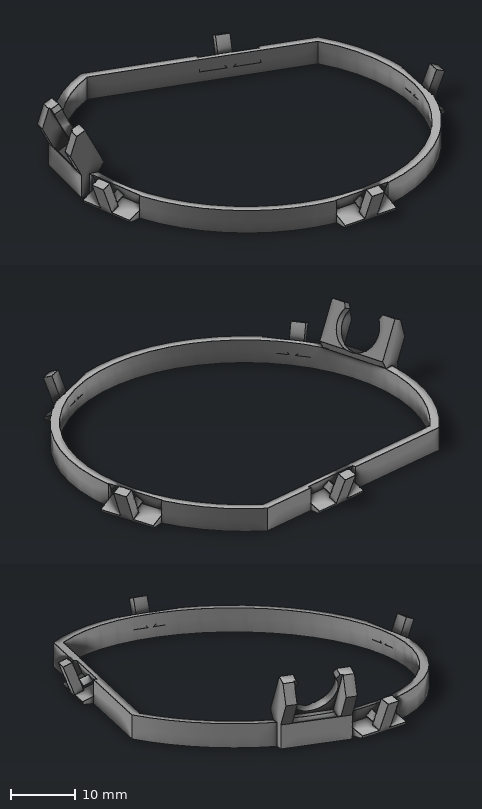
import cadquery as cq
import math

ring_radius = 30.3
ring_wall = 1.5
ring_height = 4.0
flat_distance = 23.2

clip_angles = [-61.5, 18.5, 98.5]
flat_clip_y = 4.6
ledge_length = 10.0
ledge_tip_thickness = 0.51
pocket_depth = 0.57
post_width = 2.4
post_thickness = 1.6
clip_lean = 22
post_reach = 3.7
post_corner_height = 5.2
pin_side = 1.4
pin_twist = 40
pin_height = 1.6
pin_reach = 0.3

holder_angle = -83.5
holder_width = 12.25
holder_shift = -0.3
holder_lean = 27.5
holder_front = 31.1
holder_inner = 28.1
arm_width = 1.95
arm_overhang = 4.1
arm_tip_depth = 1.7
plate_length = 7.0
plate_thickness = 1.5
plate_corner = (27.2, 5.5)
groove_rim = 30.95
groove_floor = -0.6
groove_front_depth = 4.05
seat_radius = 4.0
seat_center = 3.85
seat_margin = 1.35
mouth_half_width = 3.2
mouth_top_half_width = 3.7


def d_outline(radius, flat):
    """Solid D-shaped disc with its flat on the -X side."""
    half_chord = math.sqrt(radius**2 - flat**2)
    return (
        cq.Workplane("XY")
        .moveTo(-flat, -half_chord)
        .threePointArc((radius, 0), (-flat, half_chord))
        .close()
        .extrude(ring_height)
    )


def radial_prism(points, width):
    """Prism with an outline in radial distance and height, centred across the radial direction."""
    return cq.Workplane("XZ").polyline(points).close().extrude(width / 2, both=True)


def clip():
    """A clip and the space it needs cleared in the ring wall, as a pair of solids.

    The ring's outer face is at X = 0 and outwards is +X. The pocket wall, post and ledge share one lean.
    """
    lean = math.radians(clip_lean)
    tip_height = ledge_tip_thickness * math.cos(lean)
    outer_foot = (post_reach - (post_corner_height - tip_height) * math.tan(lean), tip_height)
    tip_foot = (outer_foot[0] - tip_height * math.tan(lean), 0)

    pocket_run = outer_foot[0] + pocket_depth
    pocket_rise = ring_height - tip_height
    ledge_depth = pocket_run * math.cos(lean) + pocket_rise * math.sin(lean)
    wall_foot = (outer_foot[0] - ledge_depth * math.cos(lean), tip_height + ledge_depth * math.sin(lean))
    cleared_points = [
        wall_foot,
        outer_foot,
        (outer_foot[0], ring_height),
        (-pocket_depth, ring_height),
    ]
    cleared = radial_prism(cleared_points, ledge_length)
    ledge = radial_prism([(wall_foot[0], 0), tip_foot, outer_foot, wall_foot], ledge_length)

    rise_x = post_thickness * math.cos(lean)
    rise_z = post_thickness * math.sin(lean)
    post_points = [
        tip_foot,
        (post_reach, post_corner_height),
        (post_reach - rise_x, post_corner_height + rise_z),
        (tip_foot[0] - rise_x, rise_z),
    ]
    post = radial_prism(post_points, post_width)

    pin = (
        cq.Workplane("XY")
        .box(ledge_depth, pin_side, pin_side, centered=(False, True, True))
        .rotate((0, 0, 0), (1, 0, 0), pin_twist)
        .rotate((0, 0, 0), (0, 1, 0), 180 + clip_lean)
        .translate((pin_reach, 0, pin_height))
        .intersect(cleared)
    )
    return ledge.union(post).union(pin), cleared


def on_arc(shape, angle):
    """Move a clip shape to an angle on the round part of the ring."""
    return shape.translate((ring_radius, 0, 0)).rotate((0, 0, 0), (0, 0, 1), angle)


def on_flat(shape):
    """Move a clip shape to the flat of the ring."""
    return shape.rotate((0, 0, 0), (0, 0, 1), 180).translate((-flat_distance, flat_clip_y, 0))


def place_holder(shape):
    """Turn a holder shape, built outwards along +X, to its angle on the ring."""
    return shape.translate((0, holder_shift, 0)).rotate((0, 0, 0), (0, 0, 1), holder_angle)


def holder():
    """The snap holder and the groove it needs cleared in the ring, as a pair of solids."""
    lean = math.radians(holder_lean)
    along = (math.sin(lean), math.cos(lean))
    across = (math.cos(lean), -math.sin(lean))

    def plate_point(length, depth):
        """Radial distance and height of a point up the plate and in from its rear face."""
        return tuple(plate_corner[i] + length * along[i] + depth * across[i] for i in range(2))

    rear_top = plate_point(plate_length, 0)
    front_top = plate_point(plate_length, plate_thickness)
    groove_back = plate_point(groove_floor, plate_thickness)
    foot = [(holder_inner, ring_height), (holder_inner, 0), (holder_front, 0), (holder_front, ring_height)]

    body_points = foot + [groove_back, front_top, rear_top, plate_corner]
    elbow = (holder_front + arm_overhang * along[0], ring_height + arm_overhang * along[1])
    arm_points = foot + [elbow, plate_point(plate_length, arm_tip_depth), rear_top, plate_corner]

    body = radial_prism(body_points, holder_width)
    for side in (-1, 1):
        arm = radial_prism(arm_points, arm_width)
        body = body.union(arm.translate((0, side * (holder_width - arm_width) / 2, 0)))

    plate_plane = cq.Plane(
        origin=(plate_corner[0], 0, plate_corner[1]),
        xDir=(0, -1, 0),
        normal=(-across[0], 0, -across[1]),
    )
    mouth = seat_center + math.sqrt(seat_radius**2 - mouth_half_width**2)
    seat = (
        cq.Workplane(plate_plane)
        .workplane(offset=-plate_thickness)
        .moveTo(mouth_half_width, mouth)
        .lineTo(mouth_top_half_width, plate_length)
        .lineTo(-mouth_top_half_width, plate_length)
        .lineTo(-mouth_half_width, mouth)
        .threePointArc((0, seat_center - seat_radius), (mouth_half_width, mouth))
        .close()
        .extrude(plate_thickness + seat_margin)
    )
    groove_points = [
        groove_back,
        plate_point(groove_floor, groove_front_depth),
        (groove_rim, ring_height),
        (groove_rim, groove_back[1]),
    ]
    groove = radial_prism(groove_points, holder_width - 2 * arm_width)
    return place_holder(body.cut(seat)), place_holder(groove)


bore = d_outline(ring_radius - ring_wall, flat_distance - ring_wall)
holder_body, holder_groove = holder()
result = d_outline(ring_radius, flat_distance).union(holder_body).cut(bore).cut(holder_groove)

clip_body, clip_space = clip()
result = result.cut(on_flat(clip_space)).union(on_flat(clip_body))
for clip_angle in clip_angles:
    result = result.cut(on_arc(clip_space, clip_angle)).union(on_arc(clip_body, clip_angle))